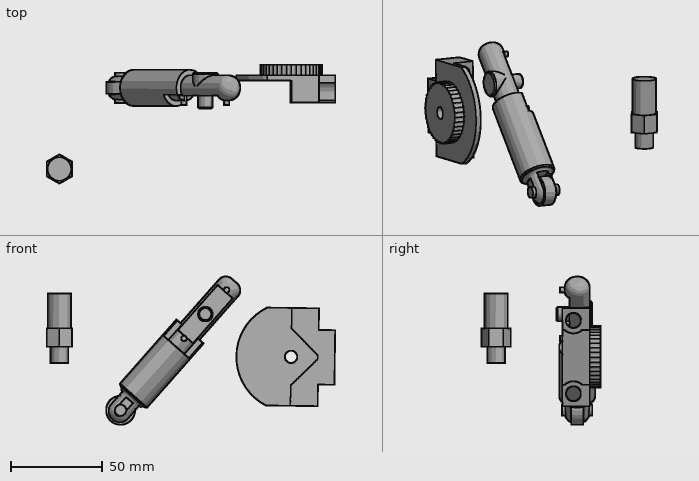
import cadquery as cq
import math

OVERALL_LENGTH = 158.3

STUD_Y, STUD_BASE_Z = -24.7, -7.0
STUD_LOWER_DIA, STUD_LOWER_LENGTH = 10.0, 9.0
HEX_ACROSS_FLATS, HEX_HEIGHT = 14.0, 10.1
STUD_UPPER_DIA, STUD_UPPER_LENGTH = 13.0, 19.2
STUD_X = -OVERALL_LENGTH / 2 + HEX_ACROSS_FLATS / 2

ARM_X, ARM_Y, ARM_Z = -38.6, 19.8, -32.8
ARM_TILT = 41.4
ROD_DIA = 14.0
ROD_RADIUS = ROD_DIA / 2
ROD_BOTTOM, ROD_TOP = -7.3, 94.5
ROD_BOTTOM_ROUND, ROD_TOP_ROUND = 6.2, 4.9
SLEEVE_DIA = 20.0
SLEEVE_BOTTOM, SLEEVE_TOP = 10.0, 57.6
SLEEVE_CHAMFER = 0.8
SLEEVE_CUT_START = 46.2
SLEEVE_CUT_DEPTH_Y = 3.8
ROLLER_DIA, ROLLER_WIDTH = 16.0, 6.6
FORK_SLOT_WIDTH, FORK_SLOT_TOP = 7.0, 8.5
FORK_FLAT_Y, FORK_FLAT_TOP = 6.5, 7.5
AXLE_DIA = 6.2
SIDE_REACH = 8.4
KNOB_Z = 70.3
KNOB_DIA = ROD_DIA
KNOB_CHAMFER = 0.8
ROD_FLAT_LENGTH, ROD_FLAT_Y = 33.0, 4.3
STEM_DIA, STEM_REACH, STEM_CHAMFER = 8.0, 11.4, 0.8
STOP_PIN_DIA, STOP_PIN_REACH, STOP_PIN_SPACING = 3.0, 9.5, 35.5

PLATE_Z = -3.5
PLATE_TURN = 0.8
PLATE_BACK_Y = 26.7
PLATE_THICKNESS = 3.0
DISC_RADIUS = 30.0
PLATE_HEIGHT = 53.8
BLOCK_DEPTH = 15.0
BLOCK_RIGHT = 15.0
TAB_RIGHT, TAB_HEIGHT = 24.0, 30.0
PLATE_TURN_RADIANS = math.radians(PLATE_TURN)
TAB_REACH = TAB_RIGHT * math.cos(PLATE_TURN_RADIANS) + TAB_HEIGHT / 2 * math.sin(PLATE_TURN_RADIANS)
PLATE_X = OVERALL_LENGTH / 2 - TAB_REACH
VEE_DEPTH = 15.7
VEE_ROUND = 2.2
CENTRE_HOLE_DIA = 6.6
EAR_HOLE_DIA, EAR_HOLE_OFFSET = 8.2, 20.1
SCREW_HEAD_CLEARANCE_DIA = 14.0
WHEEL_DIA, WHEEL_THICKNESS = 34.0, 5.9
FLUTE_COUNT = 40
FLUTE_DEPTH = 0.6


def cylinder_z(diameter, bottom, top):
    """Cylinder along Z between two Z positions."""
    return cq.Workplane("XY", origin=(0, 0, bottom)).circle(diameter / 2).extrude(top - bottom)


def cylinder_y(diameter, start, end, z=0):
    """Cylinder along Y between two Y positions."""
    return cq.Workplane("XZ", origin=(0, end, z)).circle(diameter / 2).extrude(end - start)


def make_stud():
    """Stud with two plain ends and a hexagon whose corners point along Y."""
    hex_top = STUD_LOWER_LENGTH + HEX_HEIGHT
    hex_circumscribed_dia = HEX_ACROSS_FLATS / math.cos(math.pi / 6)
    hexagon = (
        cq.Workplane("XY", origin=(0, 0, STUD_LOWER_LENGTH))
        .transformed(rotate=(0, 0, 90))
        .polygon(6, hex_circumscribed_dia)
        .extrude(HEX_HEIGHT)
    )
    lower = cylinder_z(STUD_LOWER_DIA, 0, STUD_LOWER_LENGTH)
    upper = cylinder_z(STUD_UPPER_DIA, hex_top, hex_top + STUD_UPPER_LENGTH)
    return lower.union(hexagon).union(upper).translate((STUD_X, STUD_Y, STUD_BASE_Z))


def make_rod():
    """Rod with rounded ends, a fork at the bottom and a flat on its -Y side."""
    rod = cylinder_z(ROD_DIA, ROD_BOTTOM, ROD_TOP)
    rod = rod.faces("<Z").edges().fillet(ROD_BOTTOM_ROUND).faces(">Z").edges().fillet(ROD_TOP_ROUND)
    flat = cq.Workplane("XY").box(ROD_DIA, ROD_RADIUS, ROD_FLAT_LENGTH, centered=(True, False, True))
    return rod.cut(flat.translate((0, -ROD_FLAT_Y - ROD_RADIUS, KNOB_Z)))


def make_sleeve():
    """Sleeve core for the rod, with its bottom blended into the rod and its top cut open on the -Y side."""
    radius = SLEEVE_DIA / 2
    bottom_radius = radius - SLEEVE_CHAMFER
    blend = bottom_radius - ROD_RADIUS
    arc_offset = blend * math.sqrt(0.5)
    sleeve = (
        cq.Workplane("XZ")
        .moveTo(0, SLEEVE_BOTTOM - blend)
        .lineTo(ROD_RADIUS, SLEEVE_BOTTOM - blend)
        .threePointArc(
            (bottom_radius - arc_offset, SLEEVE_BOTTOM - blend + arc_offset),
            (bottom_radius, SLEEVE_BOTTOM),
        )
        .lineTo(radius, SLEEVE_BOTTOM + SLEEVE_CHAMFER)
        .lineTo(radius, SLEEVE_TOP)
        .lineTo(0, SLEEVE_TOP)
        .close()
        .revolve(360, (0, 0), (0, 1))
    )
    opening = cq.Workplane("XY", origin=(0, -SLEEVE_CUT_DEPTH_Y, SLEEVE_CUT_START)).box(
        SLEEVE_DIA, SLEEVE_DIA, SLEEVE_TOP - SLEEVE_CUT_START, centered=(True, False, False)
    )
    return sleeve.cut(opening.translate((0, -SLEEVE_DIA, 0)))


def cut_fork(body):
    """Roller slot through the lower end, and a flat on each outer side of the fork."""
    height = FORK_SLOT_TOP - ROD_BOTTOM
    slot = cq.Workplane("XY", origin=(0, 0, ROD_BOTTOM)).box(
        SLEEVE_DIA, FORK_SLOT_WIDTH, height, centered=(True, True, False)
    )
    body = body.cut(slot)
    for side in (1, -1):
        flat = cq.Workplane("XY", origin=(0, side * (FORK_FLAT_Y + ROD_RADIUS / 2), ROD_BOTTOM)).box(
            ROD_DIA, ROD_RADIUS, FORK_FLAT_TOP - ROD_BOTTOM, centered=(True, True, False)
        )
        body = body.cut(flat)
    return body


def make_arm():
    """Rod and sleeve with a roller, its axle, a knob with its stem, and two stop pins."""
    body = cut_fork(make_sleeve().union(make_rod()))
    roller = cylinder_y(ROLLER_DIA, -ROLLER_WIDTH / 2, ROLLER_WIDTH / 2)
    axle = cylinder_y(AXLE_DIA, -SIDE_REACH, SIDE_REACH)
    knob = cylinder_y(KNOB_DIA, 0, SIDE_REACH, z=KNOB_Z).faces(">Y").chamfer(KNOB_CHAMFER)
    stem = cylinder_y(STEM_DIA, -STEM_REACH, 0, z=KNOB_Z).faces("<Y").chamfer(STEM_CHAMFER)
    body = body.union(roller).union(axle).union(knob).union(stem)
    for side in (1, -1):
        pin_z = KNOB_Z + side * STOP_PIN_SPACING / 2
        body = body.union(cylinder_y(STOP_PIN_DIA, -STOP_PIN_REACH, 0, z=pin_z))
    return body.rotate((0, 0, 0), (0, 1, 0), ARM_TILT).translate((ARM_X, ARM_Y, ARM_Z))


def make_disc():
    """Left half of a round plate with flat top and bottom; its back lies at Y = 0."""
    disc = cylinder_y(2 * DISC_RADIUS, -PLATE_THICKNESS, 0)
    band = cq.Workplane("XY", origin=(-DISC_RADIUS / 2, 0, 0)).box(
        DISC_RADIUS, 2 * PLATE_THICKNESS, PLATE_HEIGHT
    )
    return disc.intersect(band)


def make_block():
    """Block with two ears, a tab on the right, a V notch on the left and screw holes along X."""
    block = cq.Workplane("XY").box(BLOCK_RIGHT, BLOCK_DEPTH, PLATE_HEIGHT, centered=(False, False, True))
    tab = cq.Workplane("XY").box(TAB_RIGHT, BLOCK_DEPTH, TAB_HEIGHT, centered=(False, False, True))
    block = block.union(tab).translate((0, -BLOCK_DEPTH, 0))
    notch = (
        cq.Workplane("XZ", origin=(0, -PLATE_THICKNESS, 0))
        .polyline([(0, VEE_DEPTH), (VEE_DEPTH, 0), (0, -VEE_DEPTH)])
        .close()
        .extrude(BLOCK_DEPTH)
        .edges("|Y and >X")
        .fillet(VEE_ROUND)
    )
    block = block.cut(notch)
    hole_y = -(BLOCK_DEPTH + PLATE_THICKNESS) / 2
    for side in (1, -1):
        hole_z = side * EAR_HOLE_OFFSET
        hole = cq.Workplane("YZ").center(hole_y, hole_z).circle(EAR_HOLE_DIA / 2).extrude(BLOCK_RIGHT)
        clearance = (
            cq.Workplane("YZ", origin=(BLOCK_RIGHT, 0, 0))
            .center(hole_y, hole_z)
            .circle(SCREW_HEAD_CLEARANCE_DIA / 2)
            .extrude(TAB_RIGHT - BLOCK_RIGHT)
        )
        block = block.cut(hole).cut(clearance)
    return block


def make_wheel():
    """Wheel whose rim is a ring of concave flutes meeting in sharp ridges."""

    def rim_point(radius, pitches):
        angle = 2 * math.pi * pitches / FLUTE_COUNT
        return radius * math.cos(angle), radius * math.sin(angle)

    ridge_radius = WHEEL_DIA / 2
    outline = cq.Workplane("XZ", origin=(0, WHEEL_THICKNESS, 0)).moveTo(ridge_radius, 0)
    for flute in range(FLUTE_COUNT):
        valley = rim_point(ridge_radius - FLUTE_DEPTH, flute + 0.5)
        outline = outline.threePointArc(valley, rim_point(ridge_radius, flute + 1))
    return outline.close().extrude(WHEEL_THICKNESS)


def make_plate():
    """Disc, V block and wheel around one centre hole."""
    plate = make_disc().union(make_block()).union(make_wheel())
    plate = plate.cut(cylinder_y(CENTRE_HOLE_DIA, -BLOCK_DEPTH, WHEEL_THICKNESS))
    return plate.rotate((0, 0, 0), (0, 1, 0), PLATE_TURN).translate((PLATE_X, PLATE_BACK_Y, PLATE_Z))


stud = make_stud()
arm = make_arm()
plate = make_plate()

result = cq.Compound.makeCompound([stud.val(), arm.val(), plate.val()])